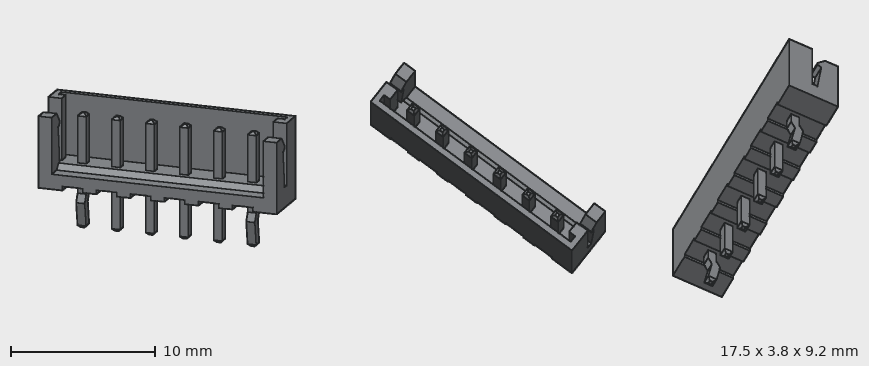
import cadquery as cq


PIN_COUNT = 6
PITCH = 2.5
PIN_WIDTH = 0.64
PIN_TOP = 5.1
PIN_BOTTOM = -3.2
TIP_HEIGHT = 0.2
TIP_TAPER = 45.0

KINK_START_Z = -0.7
KINK_PEAK_Z = -1.3
KINK_PEAK_OFFSET = 0.3
KINK_END_OFFSET = 0.03

END_MARGIN = 2.5
LENGTH = (PIN_COUNT - 1) * PITCH + 2 * END_MARGIN
DEPTH = 3.8
HEIGHT = 6.0
BACK_Y = 1.6
FRONT_Y = BACK_Y - DEPTH

FLOOR_Z = 1.5
BACK_WALL = 0.45
END_WALL = 0.97
GROOVE_END_WALL = 0.45
GROOVE_WIDTH = 0.5
SILL_Z = 1.1
SILL_DEPTH = 1.0
SILL_SLOPE = FLOOR_Z - SILL_Z

POST_TOP = 5.2
END_WALL_FRONT_Y = -0.2
POST_ROOT_DEPTH = 1.6
POST_NECK_DEPTH = 1.3
POST_NECK_Z = 4.1
NOSE_DEPTH = 1.6
NOSE_LOWER_Z = 4.3
NOSE_UPPER_Z = 4.5
POST_TOP_DEPTH = 1.0

NOTCH_WIDTH = 1.5
NOTCH_DEPTH = 0.3


def block(x_min, x_max, y_min, y_max, z_min, z_max):
    """Box between the given limits."""
    size = (x_max - x_min, y_max - y_min, z_max - z_min)
    return cq.Workplane("XY").box(*size, centered=False).translate((x_min, y_min, z_min))


def side_prism(points, width):
    """Extrude a (Y, Z) outline along X, centred on X = 0."""
    return cq.Workplane("YZ").polyline(points).close().extrude(width / 2, both=True)


def end_profile():
    """Full-length block shaped like the housing ends: tall wall, slot and latch post."""
    points = [
        (BACK_Y, 0),
        (BACK_Y, HEIGHT),
        (END_WALL_FRONT_Y, HEIGHT),
        (END_WALL_FRONT_Y, FLOOR_Z),
        (FRONT_Y + POST_ROOT_DEPTH, FLOOR_Z),
        (FRONT_Y + POST_NECK_DEPTH, POST_NECK_Z),
        (FRONT_Y + NOSE_DEPTH, NOSE_LOWER_Z),
        (FRONT_Y + NOSE_DEPTH, NOSE_UPPER_Z),
        (FRONT_Y + POST_TOP_DEPTH, POST_TOP),
        (FRONT_Y, POST_TOP),
        (FRONT_Y, 0),
    ]
    return side_prism(points, LENGTH)


def cavity():
    """Space between the end walls, open at the top and front, with a sloped sill."""
    back = BACK_Y - BACK_WALL
    sill_back = FRONT_Y + SILL_DEPTH
    points = [
        (back, HEIGHT),
        (back, FLOOR_Z),
        (sill_back + SILL_SLOPE, FLOOR_Z),
        (sill_back, SILL_Z),
        (FRONT_Y, SILL_Z),
        (FRONT_Y, HEIGHT),
    ]
    return side_prism(points, LENGTH - 2 * END_WALL)


def keying_grooves():
    """Slot along the back wall that reaches into both end walls."""
    back = BACK_Y - BACK_WALL
    half_length = LENGTH / 2 - GROOVE_END_WALL
    return block(-half_length, half_length, back - GROOVE_WIDTH, back, FLOOR_Z, HEIGHT)


def underside_notch(x):
    """Notch across the full depth of the underside, centred on a pin."""
    half_width = NOTCH_WIDTH / 2
    return block(x - half_width, x + half_width, FRONT_Y, BACK_Y, 0, NOTCH_DEPTH)


def pin(x, kink_peak=0.0, kink_end=0.0):
    """Square pin with tapered tips; the kink offsets push the tail toward -Y."""
    half = PIN_WIDTH / 2
    shoulder_top = PIN_TOP - TIP_HEIGHT
    shoulder_bottom = PIN_BOTTOM + TIP_HEIGHT
    centre_line = [
        (0.0, shoulder_top),
        (0.0, KINK_START_Z),
        (-kink_peak, KINK_PEAK_Z),
        (-kink_end, shoulder_bottom),
    ]
    back_edge = [(y + half, z) for y, z in centre_line]
    front_edge = [(y - half, z) for y, z in reversed(centre_line)]
    shank = side_prism(back_edge + front_edge, PIN_WIDTH)
    tip = cq.Workplane("XY").rect(PIN_WIDTH, PIN_WIDTH).extrude(TIP_HEIGHT, taper=TIP_TAPER)
    top_tip = tip.translate((0, 0, shoulder_top))
    bottom_tip = tip.mirror("XY").translate((0, -kink_end, shoulder_bottom))
    return shank.union(top_tip).union(bottom_tip).translate((x, 0, 0))


pin_positions = [(i - (PIN_COUNT - 1) / 2) * PITCH for i in range(PIN_COUNT)]
end_positions = (pin_positions[0], pin_positions[-1])

result = end_profile().cut(cavity()).cut(keying_grooves())

for x in pin_positions:
    result = result.cut(underside_notch(x))

for x in pin_positions:
    if x in end_positions:
        result = result.union(pin(x, KINK_PEAK_OFFSET, KINK_END_OFFSET))
    else:
        result = result.union(pin(x))